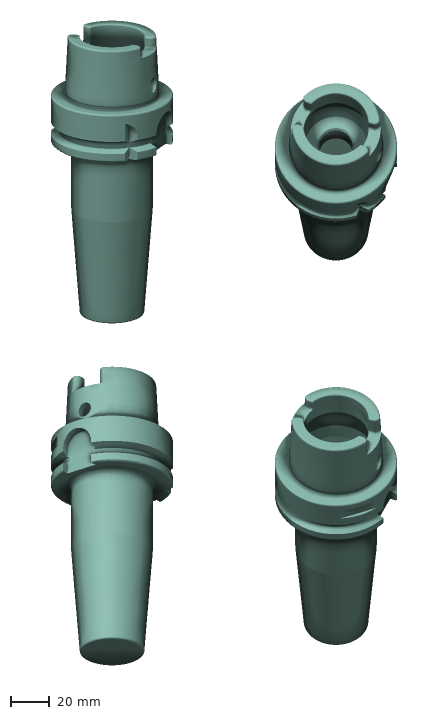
import cadquery as cq
import math

TOTAL_HEIGHT = 152.0
SHANK_LENGTH = 31.9
FLANGE_WIDTH = 26.0
FACE_Z = TOTAL_HEIGHT - SHANK_LENGTH
FLANGE_BOTTOM_Z = FACE_Z - FLANGE_WIDTH
EDGE_ROUND = 1.0

SHANK_BASE_RADIUS = 24.3
TAPER_PER_SIDE = 0.05
SHANK_TOP_RADIUS = SHANK_BASE_RADIUS - TAPER_PER_SIDE * SHANK_LENGTH

RELIEF_HEIGHT = 2.0
RELIEF_STEP = 0.6
RELIEF_CORNER_RADIUS = 0.9
RELIEF_DEPTH = 0.3
RELIEF_OUTER_RADIUS = 25.4

FLANGE_RADIUS = 31.5
GROOVE_RADIUS = 27.5
GROOVE_FLOOR_WIDTH = 2.9
GROOVE_UPPER_SIDE_HEIGHT = 2.1
GROOVE_LOWER_SIDE_HEIGHT = 1.7
GROOVE_LEDGE_RADIUS = 28.3
GROOVE_TOP_EDGE_Z = FACE_Z - 14.7

BODY_RADIUS = 21.0
NECK_FILLET = 3.0
CONE_HEIGHT = 57.3
NOSE_RADIUS = 16.5

BORE_RADIUS = 16.7
BORE_RIM_ROUND = 0.8
BORE_DEPTH = 13.0
UNDERCUT_RADIUS = 19.8
UNDERCUT_SLOPE = 30.0
CAVITY_DEPTH = 30.0
CAVITY_FLOOR_RADIUS = 15.8
CENTER_HOLE_RADIUS = 8.5
CENTER_HOLE_CHAMFER = 0.9
CENTER_HOLE_DEPTH = 12.2

CROSS_HOLE_DIAMETER = 7.9
CROSS_HOLE_Z = TOTAL_HEIGHT - 23.1

KEYWAY_WIDTH = 12.5
KEYWAY_MOUTH_X = 20.8
KEYWAY_MOUTH_ROUND = 3.0
KEYWAY_FLOOR_ROUND = 1.4
KEYWAY_DEPTH_NEG_X = 9.7
KEYWAY_DEPTH_POS_X = 6.1

SLOT_WIDTH = 18.0
SLOT_FLOOR_X = 26.5
SLOT_ARC_Z = 106.4

NOTCH_WIDTH = 16.1
NOTCH_CENTER_Y = -27.7
NOTCH_FLOOR_X = 19.8
NOTCH_ARC_Z = 107.6

FLAT_DISTANCE = 29.8
FLAT_HEIGHT = 6.0
FLAT_CENTER_Z = 113.2
FLAT_ANGLE = 135.0

CLEARANCE = 15.2


def outer_body():
    relief_radius = SHANK_BASE_RADIUS - RELIEF_DEPTH
    relief_top_z = FACE_Z + RELIEF_HEIGHT
    relief_floor_z = FACE_Z - RELIEF_DEPTH
    fillet_offset = NECK_FILLET * (1 - math.sqrt(0.5))
    outline = (
        cq.Workplane("XZ")
        .moveTo(0, 0)
        .lineTo(NOSE_RADIUS, 0)
        .lineTo(BODY_RADIUS, CONE_HEIGHT)
        .lineTo(BODY_RADIUS, FLANGE_BOTTOM_Z - NECK_FILLET)
        .threePointArc(
            (BODY_RADIUS + fillet_offset, FLANGE_BOTTOM_Z - fillet_offset),
            (BODY_RADIUS + NECK_FILLET, FLANGE_BOTTOM_Z),
        )
        .lineTo(FLANGE_RADIUS, FLANGE_BOTTOM_Z)
        .lineTo(FLANGE_RADIUS, FACE_Z)
        .lineTo(RELIEF_OUTER_RADIUS, FACE_Z)
        .lineTo(RELIEF_OUTER_RADIUS, relief_floor_z)
        .lineTo(relief_radius + RELIEF_CORNER_RADIUS, relief_floor_z)
        .radiusArc((relief_radius, relief_floor_z + RELIEF_CORNER_RADIUS), RELIEF_CORNER_RADIUS)
        .lineTo(relief_radius, relief_top_z - RELIEF_STEP)
        .lineTo(SHANK_BASE_RADIUS - TAPER_PER_SIDE * RELIEF_HEIGHT, relief_top_z)
        .lineTo(SHANK_TOP_RADIUS, TOTAL_HEIGHT)
        .lineTo(0, TOTAL_HEIGHT)
        .close()
    )
    body = outline.revolve(360, (0, 0, 0), (0, 1, 0))
    body = body.edges(cq.selectors.RadiusNthSelector(-1)).fillet(EDGE_ROUND)
    return body.faces("<Z").edges().fillet(EDGE_ROUND)


def gripper_groove():
    floor_top_z = GROOVE_TOP_EDGE_Z - GROOVE_UPPER_SIDE_HEIGHT
    floor_bottom_z = floor_top_z - GROOVE_FLOOR_WIDTH
    outline = (
        cq.Workplane("XZ")
        .moveTo(GROOVE_RADIUS, floor_top_z)
        .lineTo(FLANGE_RADIUS, GROOVE_TOP_EDGE_Z)
        .lineTo(FLANGE_RADIUS, floor_bottom_z - GROOVE_LOWER_SIDE_HEIGHT)
        .lineTo(GROOVE_LEDGE_RADIUS, floor_bottom_z)
        .lineTo(GROOVE_RADIUS, floor_bottom_z)
        .close()
    )
    return outline.revolve(360, (0, 0, 0), (0, 1, 0))


def cavity():
    shoulder_z = TOTAL_HEIGHT - BORE_DEPTH
    shoulder_drop = (UNDERCUT_RADIUS - BORE_RADIUS) * math.tan(math.radians(UNDERCUT_SLOPE))
    floor_z = TOTAL_HEIGHT - CAVITY_DEPTH
    corner_chamfer = UNDERCUT_RADIUS - CAVITY_FLOOR_RADIUS
    outline = (
        cq.Workplane("XZ")
        .moveTo(0, TOTAL_HEIGHT)
        .lineTo(BORE_RADIUS, TOTAL_HEIGHT)
        .lineTo(BORE_RADIUS, shoulder_z)
        .lineTo(UNDERCUT_RADIUS, shoulder_z - shoulder_drop)
        .lineTo(UNDERCUT_RADIUS, floor_z + corner_chamfer)
        .lineTo(CAVITY_FLOOR_RADIUS, floor_z)
        .lineTo(CENTER_HOLE_RADIUS + CENTER_HOLE_CHAMFER, floor_z)
        .lineTo(CENTER_HOLE_RADIUS, floor_z - CENTER_HOLE_CHAMFER)
        .lineTo(CENTER_HOLE_RADIUS, floor_z - CENTER_HOLE_DEPTH)
        .lineTo(0, floor_z - CENTER_HOLE_DEPTH)
        .close()
    )
    return outline.revolve(360, (0, 0, 0), (0, 1, 0))


def cross_hole():
    radius = CROSS_HOLE_DIAMETER / 2
    length = 2 * FLANGE_RADIUS
    return cq.Workplane("YZ", origin=(-length / 2, 0, CROSS_HOLE_Z)).circle(radius).extrude(length)


def keyway(depth):
    """Keyway cutter on the +X side, with a rounded mouth and a rounded floor edge."""
    half_width = KEYWAY_WIDTH / 2
    inner_x = BORE_RADIUS / 2
    outer = FLANGE_RADIUS + CLEARANCE
    round_start_x = KEYWAY_MOUTH_X - KEYWAY_MOUTH_ROUND
    round_end_y = half_width + KEYWAY_MOUTH_ROUND
    round_offset = KEYWAY_MOUTH_ROUND * math.sqrt(0.5)
    outline = (
        cq.Workplane("XY", origin=(0, 0, TOTAL_HEIGHT - depth))
        .moveTo(inner_x, -half_width)
        .lineTo(round_start_x, -half_width)
        .threePointArc((round_start_x + round_offset, round_offset - round_end_y), (KEYWAY_MOUTH_X, -round_end_y))
        .lineTo(KEYWAY_MOUTH_X, -outer)
        .lineTo(outer, -outer)
        .lineTo(outer, outer)
        .lineTo(KEYWAY_MOUTH_X, outer)
        .lineTo(KEYWAY_MOUTH_X, round_end_y)
        .threePointArc((round_start_x + round_offset, round_end_y - round_offset), (round_start_x, half_width))
        .lineTo(inner_x, half_width)
        .close()
    )
    return outline.extrude(depth + CLEARANCE).faces("<Z").edges().fillet(KEYWAY_FLOOR_ROUND)


def keyed_envelope():
    """Block around the whole part with both keyways cut and their upper edges rounded."""
    width = 2 * FLANGE_RADIUS + CLEARANCE
    block = cq.Workplane("XY").rect(width, width).extrude(TOTAL_HEIGHT)
    block = block.cut(keyway(KEYWAY_DEPTH_POS_X)).cut(turned_around(keyway(KEYWAY_DEPTH_NEG_X)))
    return block.faces(">Z").edges().fillet(EDGE_ROUND)


def round_ended_slot(width, floor_x, center_y, arc_z):
    """Slot cutter facing +X, with a round upper end and open below the flange."""
    bottom_z = FLANGE_BOTTOM_Z - NECK_FILLET
    outline = (
        cq.Workplane("YZ", origin=(floor_x, 0, 0))
        .moveTo(center_y - width / 2, bottom_z)
        .lineTo(center_y + width / 2, bottom_z)
        .lineTo(center_y + width / 2, arc_z)
        .threePointArc((center_y, arc_z + width / 2), (center_y - width / 2, arc_z))
        .close()
    )
    return outline.extrude(CLEARANCE)


def flat_pocket():
    pocket = cq.Workplane("XY").box(CLEARANCE, 2 * FLANGE_RADIUS, FLAT_HEIGHT)
    pocket = pocket.translate((FLAT_DISTANCE + CLEARANCE / 2, 0, FLAT_CENTER_Z))
    return pocket.rotate((0, 0, 0), (0, 0, 1), FLAT_ANGLE)


def turned_around(cutter):
    return cutter.rotate((0, 0, 0), (0, 0, 1), 180)


drive_slot = round_ended_slot(SLOT_WIDTH, SLOT_FLOOR_X, 0, SLOT_ARC_Z)

result = outer_body().cut(gripper_groove()).cut(cavity())
result = result.faces(">Z").edges(cq.selectors.RadiusNthSelector(-1)).fillet(EDGE_ROUND)
result = result.faces(">Z").edges(cq.selectors.RadiusNthSelector(0)).fillet(BORE_RIM_ROUND)
result = result.intersect(keyed_envelope())

result = result.cut(cross_hole())
result = result.cut(drive_slot).cut(turned_around(drive_slot))
result = result.cut(round_ended_slot(NOTCH_WIDTH, NOTCH_FLOOR_X, NOTCH_CENTER_Y, NOTCH_ARC_Z))
result = result.cut(flat_pocket())